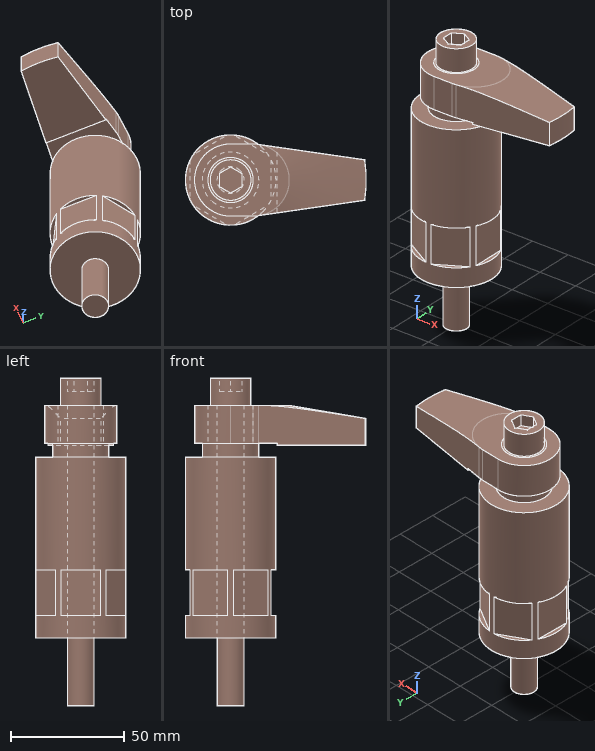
import cadquery as cq
import math

total_height = 145.0
housing_bottom = 30.0
flats_bottom = 40.0
flats_top = 60.2
housing_top = 110.0
hub_bottom = 116.1
hub_top = 133.0
tail_bottom = 115.3
tail_tip_top = 127.2

housing_radius = 20.0
collar_radius = 12.5
neck_radius = 10.0
flat_count = 6
flat_distance = 18.0

shank_radius = 6.0
head_radius = 9.0
socket_sides = 6
socket_width = 10.0
socket_depth = 6.0

hub_radius = 16.0
hub_length = 10.0
lever_reach = 60.0
tip_half_width = 9.0
tail_step_x = 20.6


def cylinder(radius, bottom, top):
    return cq.Workplane("XY").workplane(offset=bottom).circle(radius).extrude(top - bottom)


def make_housing():
    body = cylinder(housing_radius, housing_bottom, housing_top)
    collar = cylinder(collar_radius, housing_top, hub_bottom)
    neck = cylinder(neck_radius, hub_bottom, hub_top)
    bore = cylinder(shank_radius, housing_bottom, hub_top)

    flats_blank = cylinder(2 * housing_radius, flats_bottom, flats_top)
    hexagon = (
        cq.Workplane("XY").workplane(offset=flats_bottom)
        .polygon(flat_count, 2 * flat_distance, circumscribed=True)
        .extrude(flats_top - flats_bottom)
    )
    return body.cut(flats_blank.cut(hexagon)).union(collar).union(neck).cut(bore)


def make_lever():
    tip_corner_x = math.sqrt(lever_reach**2 - tip_half_width**2)
    corner_run = tip_corner_x - hub_length
    corner_distance = math.hypot(corner_run, tip_half_width)
    tangent_angle = math.atan2(tip_half_width, corner_run) + math.acos(hub_radius / corner_distance)
    tangent_x = hub_length + hub_radius * math.cos(tangent_angle)
    tangent_y = hub_radius * math.sin(tangent_angle)
    arc_angle = (tangent_angle + math.pi / 2) / 2
    arc_x = hub_length + hub_radius * math.cos(arc_angle)
    arc_y = hub_radius * math.sin(arc_angle)

    lever = (
        cq.Workplane("XY").workplane(offset=tail_bottom)
        .moveTo(0, hub_radius)
        .threePointArc((-hub_radius, 0), (0, -hub_radius))
        .lineTo(hub_length, -hub_radius)
        .threePointArc((arc_x, -arc_y), (tangent_x, -tangent_y))
        .lineTo(tip_corner_x, -tip_half_width)
        .threePointArc((lever_reach, 0), (tip_corner_x, tip_half_width))
        .lineTo(tangent_x, tangent_y)
        .threePointArc((arc_x, arc_y), (hub_length, hub_radius))
        .close()
        .extrude(hub_top - tail_bottom)
    )

    step = (
        cq.Workplane("XY").workplane(offset=tail_bottom)
        .center(tail_step_x - lever_reach / 2, 0)
        .rect(lever_reach, lever_reach)
        .extrude(hub_bottom - tail_bottom)
    )

    slope_run = lever_reach - hub_length - hub_radius
    slope = (hub_top - tail_tip_top) / slope_run
    slope_end_z = hub_top - slope * (lever_reach - hub_radius)
    slope_cutter = (
        cq.Workplane("XZ")
        .moveTo(hub_radius, hub_top)
        .lineTo(lever_reach, slope_end_z)
        .lineTo(lever_reach, hub_top)
        .close()
        .revolve(360, (0, 0, 0), (0, 1, 0))
        .translate((hub_length, 0, 0))
    )
    tail_side = (
        cq.Workplane("XY").workplane(offset=tail_bottom)
        .center(hub_length + lever_reach / 2, 0)
        .rect(lever_reach, lever_reach)
        .extrude(hub_top - tail_bottom)
    )

    bore = cylinder(neck_radius, tail_bottom, hub_top)
    return lever.cut(step).cut(slope_cutter.intersect(tail_side)).cut(bore)


def make_screw():
    shank = cylinder(shank_radius, 0, hub_top)
    head = cylinder(head_radius, hub_top, total_height)
    socket = (
        cq.Workplane("XY").workplane(offset=total_height)
        .polygon(socket_sides, socket_width, circumscribed=True)
        .extrude(-socket_depth)
    )
    return shank.union(head).cut(socket)


housing = make_housing()
lever = make_lever()
screw = make_screw()

result = cq.Compound.makeCompound([housing.val(), lever.val(), screw.val()])